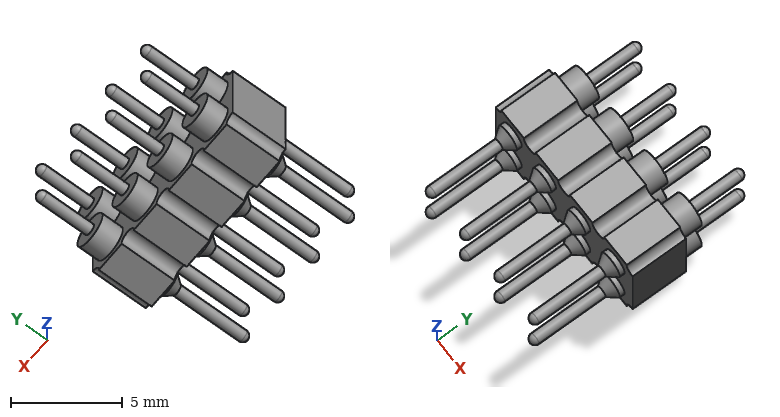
import cadquery as cq

BODY_WIDTH = 10.15
BODY_DEPTH = 3.0
COLUMNS = 4
ROWS = 2
GROOVE_RADIUS = 0.44
GROOVE_DEPTH = 0.51

PIN_LENGTH = 11.96
PIN_DIAMETER = 0.6
COLLAR_DIAMETER = 1.83
COLLAR_LENGTH = 1.15
FLANGE_DIAMETER = 1.35
FLANGE_LENGTH = 0.28
CONE_LENGTH = 0.5
REAR_PIN_LENGTH = 3.0

pitch = BODY_WIDTH / COLUMNS
body_height = ROWS * pitch

rear_tip = PIN_LENGTH / 2
front_tip = -PIN_LENGTH / 2
collar_rear = rear_tip - REAR_PIN_LENGTH
body_rear = collar_rear - COLLAR_LENGTH
body_front = body_rear - BODY_DEPTH
flange_front = body_front - FLANGE_LENGTH
cone_front = flange_front - CONE_LENGTH


def make_body():
    """Block with round grooves along Y between the columns and at the four corners."""
    block = cq.Workplane("XZ", origin=(0, body_rear, 0)).rect(BODY_WIDTH, body_height).extrude(BODY_DEPTH)
    groove_z = body_height / 2 - (GROOVE_DEPTH - GROOVE_RADIUS)
    groove_centres = [
        ((boundary - COLUMNS / 2) * pitch, side * groove_z)
        for boundary in range(COLUMNS + 1)
        for side in (-1, 1)
    ]
    grooves = (
        cq.Workplane("XZ", origin=(0, body_rear, 0))
        .pushPoints(groove_centres)
        .circle(GROOVE_RADIUS)
        .extrude(BODY_DEPTH)
    )
    return block.cut(grooves)


def make_pin():
    """Turned pin on the Y axis with a collar, a tapered flange and two round tips."""
    pin_radius = PIN_DIAMETER / 2
    collar_radius = COLLAR_DIAMETER / 2
    flange_radius = FLANGE_DIAMETER / 2
    rear_dome_centre = rear_tip - pin_radius
    front_dome_centre = front_tip + pin_radius
    dome_offset = pin_radius * 0.5 ** 0.5
    return (
        cq.Workplane("XY")
        .moveTo(0, front_tip)
        .threePointArc((dome_offset, front_dome_centre - dome_offset), (pin_radius, front_dome_centre))
        .lineTo(pin_radius, cone_front)
        .lineTo(flange_radius, flange_front)
        .lineTo(flange_radius, body_front)
        .lineTo(collar_radius, body_front)
        .lineTo(collar_radius, collar_rear)
        .lineTo(pin_radius, collar_rear)
        .lineTo(pin_radius, rear_dome_centre)
        .threePointArc((dome_offset, rear_dome_centre + dome_offset), (0, rear_tip))
        .close()
        .revolve(360, (0, 0, 0), (0, 1, 0))
    )


result = make_body()
pin = make_pin()
for column in range(COLUMNS):
    for row in range(ROWS):
        x = (column - (COLUMNS - 1) / 2) * pitch
        z = (row - (ROWS - 1) / 2) * pitch
        result = result.union(pin.translate((x, 0, z)))